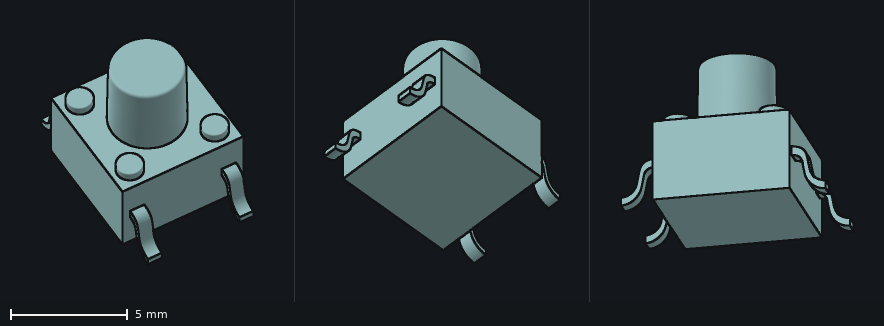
import cadquery as cq
import math

housing_side = 6.03
housing_height = 3.6
overall_length = 9.02
overall_height = 7.0

plunger_base_diameter = 3.47
plunger_top_diameter = 3.36
plunger_edge_radius = 0.15

peg_diameter = 1.22
peg_height = 0.4
peg_edge_radius = 0.06
peg_offset = 2.11

lead_width = 0.71
lead_row_offset = 2.275
lead_tip_thickness = 0.37
lead_root_thickness = 0.40
lead_root_top = 2.06
shank_angle = math.radians(78.7)
root_angle = math.radians(12.0)
foot_outer_radius = 0.94
foot_inner_radius = 0.72
knee_outer_radius = 0.55
knee_inner_radius = 0.40

lead_reach = (overall_length - housing_side) / 2


def make_housing():
    return cq.Workplane("XY").box(
        housing_side, housing_side, housing_height, centered=(True, True, False)
    )


def make_plunger():
    plunger = (
        cq.Workplane("XY")
        .workplane(offset=housing_height)
        .circle(plunger_base_diameter / 2)
        .workplane(offset=overall_height - housing_height)
        .circle(plunger_top_diameter / 2)
        .loft(ruled=True)
    )
    return plunger.faces(">Z").edges().fillet(plunger_edge_radius)


def make_pegs():
    return (
        cq.Workplane("XY")
        .workplane(offset=housing_height)
        .rect(2 * peg_offset, 2 * peg_offset, forConstruction=True)
        .vertices()
        .circle(peg_diameter / 2)
        .extrude(peg_height)
        .faces(">Z")
        .edges()
        .fillet(peg_edge_radius)
    )


def foot_point(radius, start_height, turn):
    """Point on a foot arc that leaves the tip horizontally and has turned upward by `turn`."""
    return (radius * math.sin(turn), start_height + radius * (1 - math.cos(turn)))


def knee_points(foot_end, root_height, radius):
    """Start, middle and end of the knee arc, tangent to the shank and to the root stretch."""
    foot_x, foot_z = foot_end
    shank_slope = math.tan(shank_angle)
    root_slope = math.tan(root_angle)
    height_at_foot = root_height - root_slope * (lead_reach - foot_x)
    corner_x = foot_x + (height_at_foot - foot_z) / (shank_slope - root_slope)
    corner_z = foot_z + shank_slope * (corner_x - foot_x)
    setback = radius * math.tan((shank_angle - root_angle) / 2)
    start_x = corner_x - setback * math.cos(shank_angle)
    start_z = corner_z - setback * math.sin(shank_angle)
    center_x = start_x + radius * math.sin(shank_angle)
    center_z = start_z - radius * math.cos(shank_angle)

    def arc_point(slope_angle):
        return (
            center_x - radius * math.sin(slope_angle),
            center_z + radius * math.cos(slope_angle),
        )

    middle_angle = (shank_angle + root_angle) / 2
    return arc_point(shank_angle), arc_point(middle_angle), arc_point(root_angle)


def make_lead(row_y):
    """Lead on the -X side, centred on row_y; its profile starts at the outer tip."""
    root_bottom = lead_root_top - lead_root_thickness
    outer_foot_middle = foot_point(foot_outer_radius, 0, shank_angle / 2)
    outer_foot_end = foot_point(foot_outer_radius, 0, shank_angle)
    inner_foot_middle = foot_point(foot_inner_radius, lead_tip_thickness, shank_angle / 2)
    inner_foot_end = foot_point(foot_inner_radius, lead_tip_thickness, shank_angle)
    lower_start, lower_middle, lower_end = knee_points(
        outer_foot_end, root_bottom, knee_inner_radius
    )
    upper_start, upper_middle, upper_end = knee_points(
        inner_foot_end, lead_root_top, knee_outer_radius
    )
    tip = cq.Plane(
        origin=(-overall_length / 2, row_y, 0), xDir=(1, 0, 0), normal=(0, -1, 0)
    )
    return (
        cq.Workplane(tip)
        .moveTo(0, 0)
        .threePointArc(outer_foot_middle, outer_foot_end)
        .lineTo(*lower_start)
        .threePointArc(lower_middle, lower_end)
        .lineTo(lead_reach, root_bottom)
        .lineTo(lead_reach, lead_root_top)
        .lineTo(*upper_end)
        .threePointArc(upper_middle, upper_start)
        .lineTo(*inner_foot_end)
        .threePointArc(inner_foot_middle, (0, lead_tip_thickness))
        .close()
        .extrude(lead_width / 2, both=True)
    )


result = make_housing().union(make_plunger()).union(make_pegs())
for row_y in (-lead_row_offset, lead_row_offset):
    lead = make_lead(row_y)
    result = result.union(lead).union(lead.mirror("YZ"))